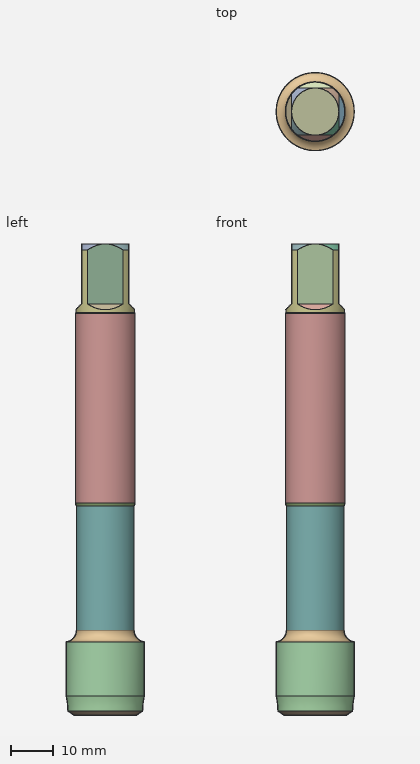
import cadquery as cq
import math

total_length = 110.0

head_radius = 18.3 / 2
neck_radius = 13.5 / 2
shank_radius = 14.0 / 2
drive_radius = 13.8 / 2
neck_blend_radius = 2.6
neck_bottom_z = 19.8
shank_bottom_z = 49.5
shank_top_z = 93.9
shank_bottom_bevel = 0.7
shank_top_bevel = 0.2

square_width = 11.0
square_bottom_z = 96.0
drive_top_radius = 5.5

cap_height = 4.5
cap_rim_z = 1.0
cap_rim_radius = 17.5 / 2
cap_base_radius = 7.3


def point_on_circle(center_x, center_z, radius, angle):
    """Point of a circle in the XZ profile plane, with the angle in radians."""
    return (center_x + radius * math.cos(angle), center_z + radius * math.sin(angle))


def make_shank_blank():
    """Revolved head, neck, shank and drive end, chamfered at 45 degrees on top."""
    blend_center_x = neck_radius + neck_blend_radius
    blend_end_angle = math.pi + math.acos((blend_center_x - head_radius) / neck_blend_radius)
    blend_mid_angle = (math.pi + blend_end_angle) / 2
    blend_end = point_on_circle(blend_center_x, neck_bottom_z, neck_blend_radius, blend_end_angle)
    blend_mid = point_on_circle(blend_center_x, neck_bottom_z, neck_blend_radius, blend_mid_angle)
    top_chamfer = drive_radius - drive_top_radius

    profile = (
        cq.Workplane("XZ")
        .moveTo(0, cap_height)
        .lineTo(head_radius, cap_height)
        .lineTo(*blend_end)
        .threePointArc(blend_mid, (neck_radius, neck_bottom_z))
        .lineTo(neck_radius, shank_bottom_z - shank_bottom_bevel)
        .lineTo(shank_radius, shank_bottom_z)
        .lineTo(shank_radius, shank_top_z - shank_top_bevel)
        .lineTo(drive_radius, shank_top_z)
        .lineTo(drive_radius, total_length - top_chamfer)
        .lineTo(drive_top_radius, total_length)
        .lineTo(0, total_length)
        .close()
    )
    return profile.revolve(360, (0, 0, 0), (0, 1, 0))


def make_flat_cutter():
    """Cutter for the +X drive flat, with a 45 degree run-out at its lower end."""
    flat_x = square_width / 2
    reach = shank_radius - flat_x
    return (
        cq.Workplane("XZ")
        .moveTo(flat_x, square_bottom_z)
        .lineTo(flat_x + reach, square_bottom_z - reach)
        .lineTo(flat_x + reach, total_length)
        .lineTo(flat_x, total_length)
        .close()
        .extrude(shank_radius, both=True)
    )


def make_shank():
    """Shank with four flats forming the square drive."""
    shank = make_shank_blank()
    cutter = make_flat_cutter()
    flat_count = 4
    for index in range(flat_count):
        turn = index * 360 / flat_count
        shank = shank.cut(cutter.rotate((0, 0, 0), (0, 0, 1), turn))
    return shank


def make_end_cap():
    """Cap below the head, with a shallow concave side and a beveled lower rim."""
    flare_inset = head_radius - cap_rim_radius
    flare_height = cap_height - cap_rim_z
    flare_radius = (flare_inset**2 + flare_height**2) / (2 * flare_inset)
    flare_mid_angle = math.pi - math.asin(flare_height / flare_radius) / 2
    flare_mid = point_on_circle(cap_rim_radius + flare_radius, cap_rim_z, flare_radius, flare_mid_angle)
    return (
        cq.Workplane("XZ")
        .moveTo(0, cap_height)
        .lineTo(head_radius, cap_height)
        .threePointArc(flare_mid, (cap_rim_radius, cap_rim_z))
        .lineTo(cap_base_radius, 0)
        .lineTo(0, 0)
        .close()
        .revolve(360, (0, 0, 0), (0, 1, 0))
    )


shank = make_shank()
end_cap = make_end_cap()

result = cq.Compound.makeCompound([shank.val(), end_cap.val()])